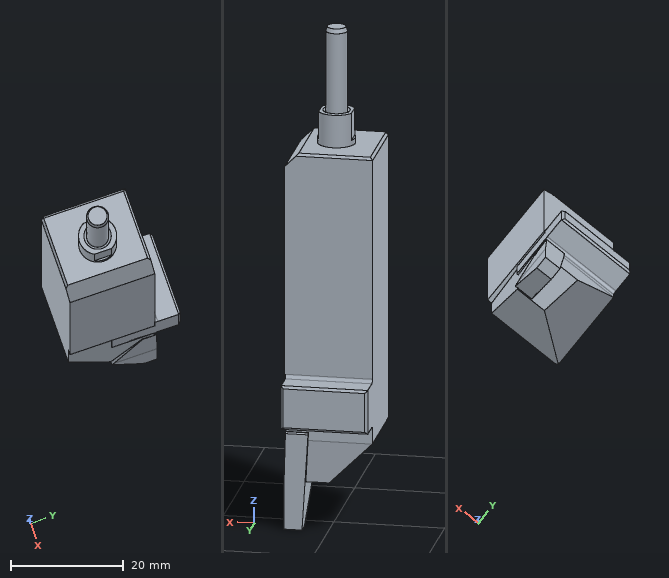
import cadquery as cq
import math

total_height = 91.8
width = 16.0
depth = 16.0
shoulder_z = 70.2
edge_chamfer = 0.5
corner_chamfer = 2.6

slope_start_z = 17.1
tip_y = 13.8
side_slope_z = 16.7
end_z = 7.5
end_back_z = 8.8
back_relief = 0.5

relief_top_z = 26.8
relief_front = 0.9
relief_back = 0.3

blade_back_y = 16.4
blade_top_z = 18.2
blade_full_width_z = 8.3
blade_left_x = 11.6
blade_tip_left_x = 12.7
blade_corner = 0.3
blade_setback = 0.2

tab_end_y = 21.0
tab_bottom_z = 20.0
tab_top_z = 28.2
tab_width = width - relief_back
tab_fillet = 0.6

axis_x = width / 2
axis_y = depth / 2
collar_diameter = 6.8
collar_height = 6.1
across_flats = 6.0
flat_gap = 1.0
pin_diameter = 3.95
pin_chamfer_radial = 0.3
pin_chamfer_length = 0.8
mouth_diameter = 4.9
collar_top_z = shoulder_z + collar_height

slope_rate = tip_y / slope_start_z
end_front_y = (slope_start_z - end_z) * slope_rate


def make_shank():
    """Square shank with slanted lower end and bevelled top."""
    side_profile = [
        (0, shoulder_z),
        (0, slope_start_z),
        (end_front_y, end_z),
        (depth - back_relief, end_back_z),
        (depth, side_slope_z),
        (depth, shoulder_z),
    ]
    shank = cq.Workplane("YZ").polyline(side_profile).close().extrude(width)
    shank = shank.edges("(>Z and (|X or <X)) or (|Z and <X and <Y)").chamfer(edge_chamfer)

    slope_run = side_slope_z - end_z
    front_profile = [
        (0, side_slope_z),
        (slope_run, end_z),
        (width, end_z),
        (width, shoulder_z - corner_chamfer),
        (width - corner_chamfer, shoulder_z),
        (0, shoulder_z),
    ]
    envelope = cq.Workplane("XZ").polyline(front_profile).close().extrude(-depth)
    return shank.intersect(envelope)


def make_side_relief():
    """Wedge that drafts the lower part of the +X face."""
    wedge = [(width - relief_front, 0), (width, 0), (width, depth), (width - relief_back, depth)]
    return cq.Workplane("XY").polyline(wedge).close().extrude(relief_top_z)


def make_tab():
    """Back tab with chamfered end and filleted root corners."""
    tab_height = tab_top_z - tab_bottom_z
    tab = cq.Workplane("XY").box(tab_width, tab_end_y - axis_y, tab_height, centered=False)
    tab = tab.translate((0, axis_y, tab_bottom_z)).faces(">Y").chamfer(edge_chamfer)
    for root_z, direction in ((tab_top_z, 1), (tab_bottom_z, -1)):
        diagonal = tab_fillet * (1 - math.sqrt(0.5))
        fillet = (
            cq.Workplane("YZ")
            .moveTo(depth, root_z)
            .lineTo(depth + tab_fillet, root_z)
            .threePointArc(
                (depth + diagonal, root_z + direction * diagonal),
                (depth, root_z + direction * tab_fillet),
            )
            .close()
            .extrude(tab_width)
        )
        tab = tab.union(fillet)
    return tab


def make_blade():
    """Tapered blade that continues the front slope down to the tip."""
    side_profile = [
        (blade_back_y, 0),
        (blade_back_y, blade_top_z - blade_corner),
        (blade_back_y - blade_corner, blade_top_z),
        (tip_y, blade_top_z),
        (end_front_y + blade_setback, end_z),
        (tip_y + blade_setback, 0),
    ]
    blade = cq.Workplane("YZ").polyline(side_profile).close().extrude(width)
    front_profile = [
        (blade_tip_left_x, 0),
        (width, 0),
        (width, blade_full_width_z),
        (width - relief_back, blade_top_z),
        (blade_left_x, blade_top_z),
    ]
    envelope = cq.Workplane("XZ").polyline(front_profile).close().extrude(-blade_back_y)
    return blade.intersect(envelope)


def make_collar():
    """Round collar with two wrench flats."""
    collar = (
        cq.Workplane("XY", origin=(axis_x, axis_y, shoulder_z))
        .circle(collar_diameter / 2)
        .extrude(collar_height)
    )
    flats = (
        cq.Workplane("XY", origin=(axis_x, axis_y, shoulder_z + flat_gap))
        .rect(across_flats, collar_diameter)
        .extrude(collar_height - flat_gap)
    )
    base = (
        cq.Workplane("XY", origin=(axis_x, axis_y, shoulder_z))
        .circle(collar_diameter / 2)
        .extrude(flat_gap)
    )
    return collar.intersect(flats.union(base))


def make_pin_socket():
    """Bore through the collar, with a countersunk mouth."""
    bore_radius = pin_diameter / 2
    mouth_radius = mouth_diameter / 2
    profile = [
        (0, shoulder_z),
        (bore_radius, shoulder_z),
        (bore_radius, collar_top_z - (mouth_radius - bore_radius)),
        (mouth_radius, collar_top_z),
        (0, collar_top_z),
    ]
    socket = cq.Workplane("XZ").polyline(profile).close().revolve(360, (0, 0, 0), (0, 1, 0))
    return socket.translate((axis_x, axis_y, 0))


def make_holder():
    holder = make_shank().cut(make_side_relief())
    for feature in (make_tab(), make_blade(), make_collar()):
        holder = holder.union(feature)
    return holder.cut(make_pin_socket())


def make_pin():
    """Round pin standing on the shoulder inside the collar, with a chamfered tip."""
    return (
        cq.Workplane("XY", origin=(axis_x, axis_y, shoulder_z))
        .circle(pin_diameter / 2)
        .extrude(total_height - shoulder_z)
        .faces(">Z")
        .edges()
        .chamfer(pin_chamfer_length, pin_chamfer_radial)
    )


holder = make_holder()
pin = make_pin()
result = cq.Compound.makeCompound([holder.solids().val(), pin.solids().val()])